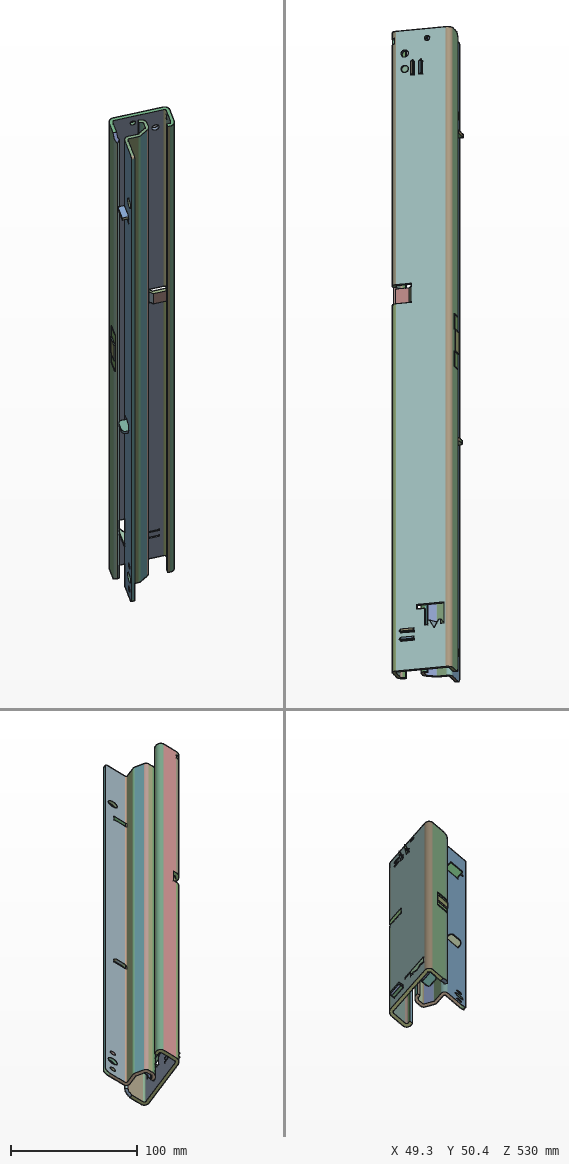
import cadquery as cq
import math

length = 530.0
half_depth = 25.2
half_width = 24.65

pad_height = 0.5

channel_sheet = 2.9
channel_bend = 1.5
wall_x = -20.0
wall_inner_x = wall_x + channel_sheet
channel_mouth_x = 0.8
lip_end_y = 18.5
flange_y = pad_height - half_depth
bottom_bend_x = -0.5
bottom_lip_leg = 1.85
mouth_chamfer = 6.5

rail_sheet = 2.5
rail_bend = 1.0
curl_bend = 2.0
curl_x = -12.0
curl_end_y = -2.0
rail_top_y = 4.0
rail_slope_x = -1.5
rail_wall_x = 4.5
rail_slope_end_y = -5.5
plate_back_y = -15.5
plate_front_y = plate_back_y - rail_sheet
plate_top_radius = 2.0
plate_bottom_radius = 5.0

pilot_hole_diameter = 4.0
pilot_hole_y = -5.0
pilot_z = 522.0
round_hole_diameter = 6.0
round_hole_y = 14.0
round_hole_z = 511.0
dimple_z = 498.0
dimple_depth = 1.5
corner_notch_width = 5.0

prong_reach = half_width + wall_x
prong_rise = 3.0
prong_thickness = 1.85
prong_pitch = 7.0
prong_width = 11.0
upper_prongs_y = 9.0
upper_prongs_z = 498.0
lower_prongs_y = 11.4
lower_prongs_z = 34.5

stop_window_bottom_z = 304.0
stop_window_top_z = 320.0
stop_window_y = 8.5
stop_window_clearance = 1.3
stop_window_x = wall_inner_x + channel_sheet + stop_window_clearance
stop_tab_ramp_y = 11.0
stop_tab_end_y = half_depth - channel_sheet
stop_tab_top_gap = 2.5
stop_tab_bottom_gap = 1.0

shelf_window_top_z = 53.5
shelf_z = 40.0
shelf_y = -10.5
shelf_width = 10.5
shelf_end_x = -3.0
shelf_corner_radius = 2.5
shelf_window_width = 16.0
shelf_relief_depth = 3.5
side_slot_end_y = 4.0
side_slot_height = 3.5
dent_half_width = 4.0
dent_size = 7.0

recess_x = -10.5
recess_bottom_z = 251.0
recess_top_z = 294.5
recess_depth = 0.5
pad_bottom_z = 264.0
pad_top_z = 282.0

plate_hole_x = 17.5
large_hole_diameter = 8.5
small_hole_diameter = 5.0
top_hole_z = 468.5
bottom_hole_z = 24.0
small_hole_offset = 14.0
tab_window_left_x = 4.0
tab_window_right_x = 16.5
tab_reach_y = -23.5
upper_tab_top_z = 451.5
upper_window_bottom_z = 443.0
lower_tab_top_z = 197.0
lower_window_top_z = 204.0
tab_corner_radius = 3.0


def box(x0, x1, y0, y1, z0, z1):
    """A block between two opposite corners."""
    return cq.Workplane("XY").box(x1 - x0, y1 - y0, z1 - z0, centered=False).translate((x0, y0, z0))


def offset_path(path, distance):
    """The path moved sideways to its left by a distance, with mitred corners."""
    normals = []
    for (x0, y0), (x1, y1) in zip(path, path[1:]):
        run = math.hypot(x1 - x0, y1 - y0)
        normals.append(((y0 - y1) / run, (x1 - x0) / run))
    moved = []
    for i, (x, y) in enumerate(path):
        ax, ay = normals[max(i - 1, 0)]
        bx, by = normals[min(i, len(normals) - 1)]
        scale = distance / (1 + ax * bx + ay * by)
        moved.append((x + (ax + bx) * scale, y + (ay + by) * scale))
    return moved


def turns_left(a, b, c):
    """Whether the path a-b-c turns left at b."""
    return (b[0] - a[0]) * (c[1] - b[1]) > (b[1] - a[1]) * (c[0] - b[0])


def bent_sheet(path, offset, bend_radii):
    """A full-length sheet from one face's sharp corners; a positive offset lies left of the path."""
    other_face = offset_path(path, offset)
    sheet = cq.Workplane("XY").polyline(path + other_face[::-1]).close().extrude(length)
    for i, radius in enumerate(bend_radii, start=1):
        path_is_outside = turns_left(*path[i - 1 : i + 2]) == (offset > 0)
        inner_radius, outer_radius = radius, radius + abs(offset)
        path_radius = outer_radius if path_is_outside else inner_radius
        other_radius = inner_radius if path_is_outside else outer_radius
        for (x, y), edge_radius in ((path[i], path_radius), (other_face[i], other_radius)):
            edge = cq.NearestToPointSelector((x, y, length / 2))
            sheet = sheet.edges("|Z").edges(edge).fillet(edge_radius)
    return sheet




def channel_blank():
    path = [
        (channel_mouth_x, lip_end_y),
        (channel_mouth_x, half_depth),
        (wall_x, half_depth),
        (wall_x, flange_y),
        (bottom_bend_x, flange_y),
        (bottom_bend_x + bottom_lip_leg, flange_y + bottom_lip_leg),
    ]
    return bent_sheet(path, channel_sheet, [channel_bend] * 4)


def mouth_corner_cuts():
    """Triangles that chamfer both ends of the bottom flange's free edge."""
    edge_x = bottom_bend_x + bottom_lip_leg
    cuts = cq.Workplane("XZ")
    for end_z, inward in ((0, 1), (length, -1)):
        corners = [
            (edge_x - mouth_chamfer, end_z),
            (edge_x, end_z),
            (edge_x, end_z + inward * mouth_chamfer),
        ]
        cuts = cuts.polyline(corners).close()
    return cuts.extrude(half_depth)


def wall_cylinder(y, z, diameter, depth):
    """A cylinder going inward from the wall's outer face."""
    return cq.Workplane("YZ", origin=(wall_x, y, z)).circle(diameter / 2).extrude(depth)


def add_wall_holes(channel):
    channel = channel.cut(wall_cylinder(pilot_hole_y, pilot_z, pilot_hole_diameter, channel_sheet))
    channel = channel.cut(wall_cylinder(round_hole_y, round_hole_z, round_hole_diameter, channel_sheet))
    channel = channel.cut(wall_cylinder(round_hole_y, dimple_z, round_hole_diameter, dimple_depth))
    notch_x = wall_inner_x + channel_bend
    notch_y = half_depth - channel_sheet
    half_notch = corner_notch_width / 2
    notch = box(wall_x, notch_x, notch_y, half_depth, pilot_z - half_notch, pilot_z + half_notch)
    return channel.cut(notch)


def add_prong_pair(channel, origin, normal):
    """Two prongs cut from the wall that lean outward; the normal runs along their width."""
    plane = cq.Plane(origin=origin, xDir=(-1, 0, 0), normal=normal)
    for start in (0, prong_pitch):
        tip = start + prong_rise
        window = (
            cq.Workplane(plane)
            .center(-channel_sheet / 2, start + prong_rise / 2)
            .rect(channel_sheet, prong_rise)
            .extrude(prong_width / 2, both=True)
        )
        outline = [
            (-channel_sheet, start),
            (0, start),
            (prong_reach, tip),
            (prong_reach - prong_thickness, tip),
            (0, start + prong_thickness),
            (-channel_sheet, start + prong_thickness),
        ]
        prong = cq.Workplane(plane).polyline(outline).close().extrude(prong_width / 2, both=True)
        channel = channel.cut(window).union(prong)
    return channel


def add_stop_tab(channel):
    """A tongue pushed inward by one sheet thickness, in a window that opens the top corner."""
    window = box(
        wall_x, stop_window_x, stop_window_y, half_depth, stop_window_bottom_z, stop_window_top_z
    )
    path = [
        (wall_x, stop_window_y),
        (wall_inner_x, stop_tab_ramp_y),
        (wall_inner_x, stop_tab_end_y),
        (wall_inner_x + channel_sheet, stop_tab_end_y),
        (wall_inner_x + channel_sheet, stop_tab_ramp_y),
        (wall_inner_x, stop_window_y),
    ]
    tab_bottom_z = stop_window_bottom_z + stop_tab_bottom_gap
    tab_height = stop_window_top_z - stop_tab_top_gap - tab_bottom_z
    tab = cq.Workplane("XY", origin=(0, 0, tab_bottom_z)).polyline(path).close().extrude(tab_height)
    return channel.cut(window).union(tab)


def triangular_pit():
    """A tetrahedron that dents the outer corner between the wall and the shelf."""
    left = cq.Vector(wall_x, shelf_y - dent_half_width, shelf_z)
    right = cq.Vector(wall_x, shelf_y + dent_half_width, shelf_z)
    low = cq.Vector(wall_x, shelf_y, shelf_z - dent_size)
    deep = cq.Vector(wall_x + dent_size, shelf_y, shelf_z)
    faces = []
    for corners in ((left, right, low), (left, right, deep), (left, low, deep), (right, low, deep)):
        faces.append(cq.Face.makeFromWires(cq.Wire.makePolygon(corners, close=True)))
    return cq.Workplane(cq.Solid.makeSolid(cq.Shell.makeShell(faces)))


def add_shelf(channel):
    """A tab folded inward at the lower edge of its window, stiffened by a dent in the fold."""
    window_left = shelf_y - shelf_window_width / 2
    window_right = shelf_y + shelf_window_width / 2
    tab_left = shelf_y - shelf_width / 2
    tab_right = shelf_y + shelf_width / 2
    relief_z = shelf_z - shelf_relief_depth
    window = box(wall_x, wall_inner_x, window_left, window_right, shelf_z, shelf_window_top_z)
    side_slot = box(
        wall_x, wall_inner_x, window_right, side_slot_end_y,
        shelf_window_top_z - side_slot_height, shelf_window_top_z,
    )
    channel = channel.cut(window).cut(side_slot)
    for y0, y1 in ((window_left, tab_left), (tab_right, window_right)):
        channel = channel.cut(box(wall_x, wall_inner_x, y0, y1, relief_z, shelf_z))

    shelf_bottom_z = shelf_z - channel_sheet
    shelf = box(wall_inner_x, shelf_end_x, tab_left, tab_right, shelf_bottom_z, shelf_z)
    shelf = shelf.edges("|Z and >X").fillet(shelf_corner_radius)
    web = (
        cq.Workplane("XZ", origin=(0, shelf_y, 0))
        .polyline(
            [
                (wall_inner_x, shelf_bottom_z),
                (wall_inner_x, shelf_bottom_z - dent_size),
                (wall_inner_x + dent_size, shelf_bottom_z),
            ]
        )
        .close()
        .extrude(dent_half_width, both=True)
    )
    return channel.union(shelf).union(web).cut(triangular_pit())


def add_flange_recess(channel):
    """A shallow recess on the bottom flange, with a pad in its middle that stands proud."""
    recess = box(
        recess_x, channel_mouth_x, flange_y, flange_y + recess_depth, recess_bottom_z, recess_top_z
    )
    pad = box(
        recess_x, bottom_bend_x, -half_depth, flange_y + channel_sheet, pad_bottom_z, pad_top_z
    )
    return channel.cut(recess).union(pad)


def make_channel():
    channel = channel_blank().cut(mouth_corner_cuts())
    channel = add_wall_holes(channel)
    channel = add_prong_pair(channel, (wall_x, upper_prongs_y, upper_prongs_z), (0, 0, 1))
    channel = add_prong_pair(channel, (wall_x, lower_prongs_y, lower_prongs_z), (0, -1, 0))
    channel = add_stop_tab(channel)
    channel = add_shelf(channel)
    return add_flange_recess(channel)




def rail_blank():
    path = [
        (curl_x, curl_end_y),
        (curl_x, rail_top_y),
        (rail_slope_x, rail_top_y),
        (rail_wall_x, rail_slope_end_y),
        (rail_wall_x, plate_back_y),
        (half_width, plate_back_y),
    ]
    rail = bent_sheet(path, -rail_sheet, [curl_bend] + [rail_bend] * 3)
    rail = rail.edges("|Y and >X and >Z").fillet(plate_top_radius)
    return rail.edges("|Y and >X and <Z").fillet(plate_bottom_radius)


def add_plate_holes(rail):
    holes = [
        (top_hole_z, large_hole_diameter),
        (bottom_hole_z, large_hole_diameter),
        (bottom_hole_z + small_hole_offset, small_hole_diameter),
        (bottom_hole_z - small_hole_offset, small_hole_diameter),
    ]
    for z, diameter in holes:
        hole = cq.Workplane("XZ", origin=(plate_hole_x, plate_back_y, z)).circle(diameter / 2)
        rail = rail.cut(hole.extrude(rail_sheet))
    return rail


def plate_window(z0, z1):
    return box(tab_window_left_x, tab_window_right_x, plate_front_y, plate_back_y, z0, z1)


def plate_tab(top_z):
    """A level tab standing forward from the plate."""
    return box(
        tab_window_left_x, tab_window_right_x, tab_reach_y, plate_back_y, top_z - rail_sheet, top_z
    )


def add_plate_tabs(rail):
    """Two tabs folded forward, each leaving the window that it was cut from."""
    upper_window = plate_window(upper_window_bottom_z, upper_tab_top_z)
    lower_window = plate_window(lower_tab_top_z, lower_window_top_z)
    lower_window = lower_window.edges("|Y and >Z").fillet(tab_corner_radius)
    lower_tab = plate_tab(lower_tab_top_z).edges("|Z and <Y").fillet(tab_corner_radius)
    rail = rail.cut(upper_window).cut(lower_window)
    return rail.union(plate_tab(upper_tab_top_z)).union(lower_tab)


def make_rail():
    return add_plate_tabs(add_plate_holes(rail_blank()))


channel = make_channel()
rail = make_rail()
result = cq.Compound.makeCompound([channel.val(), rail.val()])